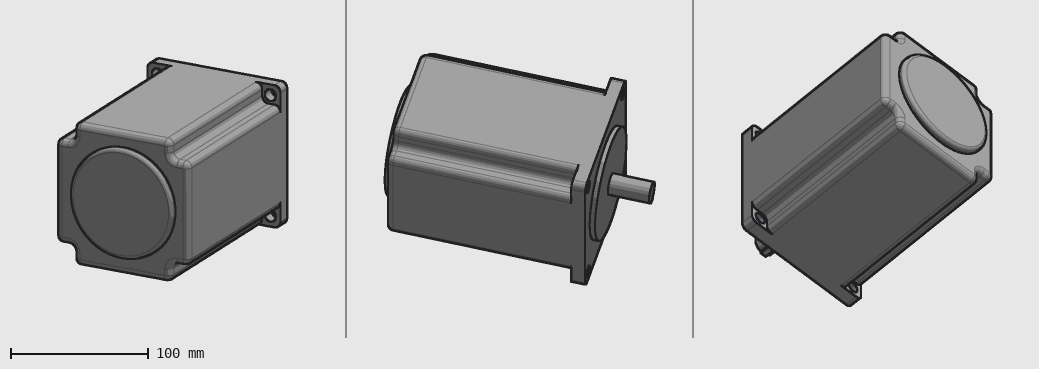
import cadquery as cq


side = 110.0
body_length = 150.0
flange_thickness = 10.5
corner_radius = 5.0

notch_size = 15.0
notch_radius = 5.0
end_fillet = 4.999

hole_diameter = 9.0
hole_spacing = 93.3

cover_diameter = 85.0
cover_height = 5.0
cover_fillet = 3.0
cover_offset_x = 1.5
cover_offset_z = 0.8

pilot_diameter = 85.0
pilot_height = 4.0
shaft_diameter = 16.0
shaft_length = 35.0
key_width = 5.0
key_length = 30.0
key_reach = 9.5
key_seat = 5.0

half_side = side / 2
CORNERS = [(sx, sz) for sx in (-1, 1) for sz in (-1, 1)]


def section_at(y):
    """Workplane normal to the motor axis: local x is +X, local y is +Z, normal is -Y."""
    return cq.Workplane("XZ", origin=(0, y, 0))


def make_flange():
    """Square mounting flange with rounded corners."""
    return section_at(0).rect(side, side).extrude(flange_thickness).edges("|Y").fillet(corner_radius)


def make_body():
    """Housing behind the flange, notched at its corners and rounded on its rear edges."""
    body = section_at(-flange_thickness).rect(side, side).extrude(body_length - flange_thickness)
    notch_centers = [(sx * half_side, sz * half_side) for sx, sz in CORNERS]
    notches = (
        section_at(-flange_thickness)
        .pushPoints(notch_centers)
        .rect(2 * notch_size, 2 * notch_size)
        .extrude(body_length)
        .edges("|Y")
        .fillet(notch_radius)
    )
    body = body.cut(notches)
    mouth_edges = body.edges("|Y").filter(is_mouth_edge)
    body = body.newObject(mouth_edges.vals()).fillet(corner_radius)
    return body.faces("<Y").edges().fillet(end_fillet)


def is_mouth_edge(edge):
    """True for the edges where a notch wall meets an outer side of the housing."""
    center = edge.Center()
    tolerance = 0.001
    return max(abs(center.x), abs(center.z)) > half_side - tolerance


def make_cover():
    """Round rear cover with a rounded rim."""
    return (
        section_at(-body_length)
        .center(cover_offset_x, cover_offset_z)
        .circle(cover_diameter / 2)
        .extrude(cover_height)
        .faces("<Y")
        .edges()
        .fillet(cover_fillet)
    )


def make_shaft():
    """Pilot disc and output shaft."""
    pilot = section_at(0).circle(pilot_diameter / 2).extrude(-pilot_height)
    return pilot.union(section_at(0).circle(shaft_diameter / 2).extrude(-shaft_length))


def make_key():
    """Key on the -Z side of the shaft: flush with the shaft tip, round at its inner end."""
    half_width = key_width / 2
    inner_end = shaft_length - key_length
    arc_start = inner_end + half_width
    return (
        cq.Workplane("XY", origin=(0, 0, -key_reach))
        .moveTo(-half_width, shaft_length)
        .lineTo(-half_width, arc_start)
        .threePointArc((0, inner_end), (half_width, arc_start))
        .lineTo(half_width, shaft_length)
        .close()
        .extrude(key_reach - key_seat)
    )


def make_mounting_holes():
    """Through holes in the four flange corners."""
    return (
        section_at(0)
        .rect(hole_spacing, hole_spacing, forConstruction=True)
        .vertices()
        .circle(hole_diameter / 2)
        .extrude(flange_thickness)
    )


housing = make_flange().union(make_body()).cut(make_mounting_holes())
result = housing.union(make_cover()).union(make_shaft()).union(make_key())